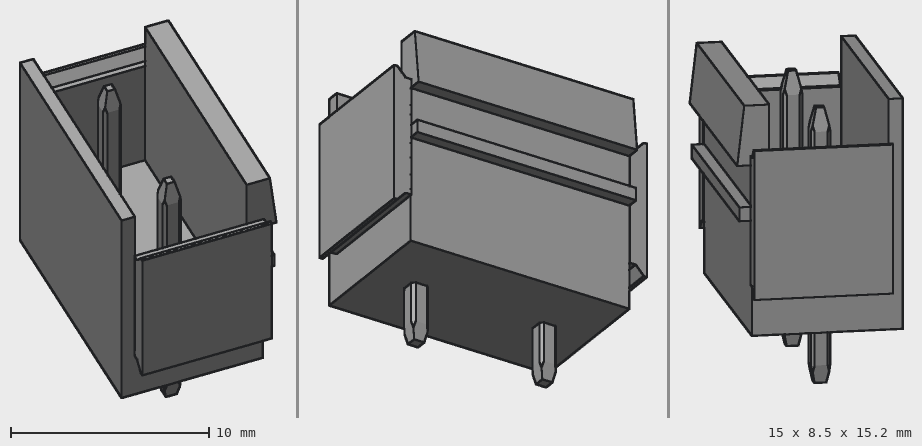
import cadquery as cq


housing_width = 13.0
housing_height = 12.0
overall_depth = 8.5
floor_thickness = 3.0
front_wall_thickness = 0.73
back_wall_thickness = 0.89

lip_overhang = 0.75
lip_top_overhang = 0.39
lip_height = 3.12

rib_overhang = 0.64
rib_height = 0.72
rib_bottom = 6.0

overall_width = 15.04
plate_height = 7.75
plate_bottom = 2.13
plate_depth = 7.11
plate_back_step = 0.06
plate_edge_thickness = 0.2
plate_neck_width = 0.34
plate_neck_inset = 0.52

pin_pitch = 7.62
pin_row_offset = -0.1
pin_to_back = 4.7
pin_width = 1.0
pin_bar_diameter = 1.2
pin_projection = 3.2
pin_top_drop = 0.9
pin_upper_tip_width = 0.42
pin_upper_tip_length = 1.2
pin_lower_tip_width = 0.6
pin_lower_tip_length = 0.95

lip_back = pin_to_back
front_face = lip_back - overall_depth
front_wall_inner = front_face + front_wall_thickness
back_face = lip_back - lip_overhang
back_wall_inner = back_face - back_wall_thickness
lip_bottom = housing_height - lip_height
plate_back = back_face + plate_back_step
plate_reach = (overall_width - housing_width) / 2
pin_bottom = -pin_projection
pin_top = housing_height - pin_top_drop
pin_length = pin_top - pin_bottom
pin_positions = [pin_row_offset + side * pin_pitch / 2 for side in (-1, 1)]


def make_channel():
    """U-shaped channel with the latch lip, one profile swept along X."""
    profile = [
        (front_face, 0),
        (back_face, 0),
        (back_face, lip_bottom),
        (lip_back, lip_bottom),
        (back_face + lip_top_overhang, housing_height),
        (back_wall_inner, housing_height),
        (back_wall_inner, floor_thickness),
        (front_wall_inner, floor_thickness),
        (front_wall_inner, housing_height),
        (front_face, housing_height),
    ]
    return cq.Workplane("YZ").polyline(profile).close().extrude(housing_width / 2, both=True)


def make_rib():
    """Full-width rib on the back wall."""
    return cq.Workplane("XY").box(
        housing_width, rib_overhang, rib_height, centered=(True, False, False)
    ).translate((0, back_face, rib_bottom))


def make_end_plate():
    """Right-hand end plate: a narrow neck flaring out to a thin outer edge."""
    neck_x = housing_width / 2
    flare_x = neck_x + plate_neck_width
    outer_x = neck_x + plate_reach
    edge_x = outer_x - plate_edge_thickness
    plate_top = plate_bottom + plate_height
    neck_bottom = plate_bottom + plate_neck_inset
    neck_top = plate_top - plate_neck_inset
    profile = [
        (neck_x, neck_bottom),
        (flare_x, neck_bottom),
        (edge_x, plate_bottom),
        (outer_x, plate_bottom),
        (outer_x, plate_top),
        (edge_x, plate_top),
        (flare_x, neck_top),
        (neck_x, neck_top),
    ]
    plate = cq.Workplane("XZ").polyline(profile).close().extrude(plate_depth)
    return plate.translate((0, plate_back, 0))


def pin_blank(x):
    """Round bar that leaves rounded corners when it is trimmed to the square envelope."""
    return cq.Workplane("XY", origin=(x, 0, pin_bottom)).circle(pin_bar_diameter / 2).extrude(pin_length)


def pin_envelope(x):
    """Square bar that tapers to a flat tip at each end."""
    straight_bottom = pin_bottom + pin_lower_tip_length
    straight_top = pin_top - pin_upper_tip_length

    def frustum(start, start_width, end, end_width):
        section = cq.Workplane("XY", origin=(x, 0, start)).rect(start_width, start_width)
        return section.workplane(offset=end - start).rect(end_width, end_width).loft()

    lower = frustum(pin_bottom, pin_lower_tip_width, straight_bottom, pin_width)
    middle = frustum(straight_bottom, pin_width, straight_top, pin_width)
    upper = frustum(straight_top, pin_width, pin_top, pin_upper_tip_width)
    return lower.union(middle).union(upper)


def make_pin(x):
    """Pin standing at the given X: the round bar trimmed flat and tapered."""
    return pin_blank(x).intersect(pin_envelope(x))


def make_housing(pins):
    """One housing with a matching hole through its floor for each pin."""
    right_plate = make_end_plate()
    left_plate = right_plate.mirror("YZ")
    housing = make_channel().union(make_rib()).union(right_plate).union(left_plate)
    for pin in pins:
        housing = housing.cut(pin)
    return housing


pins = [make_pin(x) for x in pin_positions]
housing = make_housing(pins)

pin_solids = [pin.solids().val() for pin in pins]

result = cq.Compound.makeCompound([housing.solids().val(), *pin_solids])